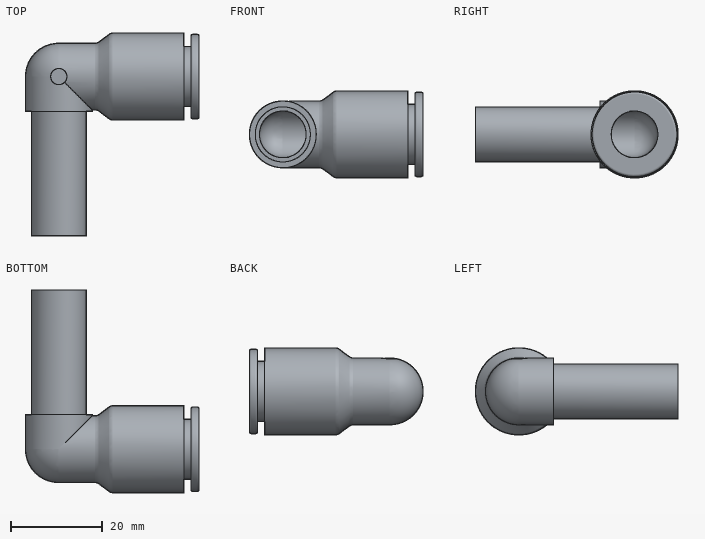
import cadquery as cq

elbow_radius = 7.3
elbow_skirt_length = 7.55
stem_radius = 6.0
stem_end = 34.7
bore_radius = 5.1

barrel_radius = 9.5
shoulder_start = 8.4
shoulder_end = 11.35
shoulder_fillet = 1.33
barrel_end = 27.25

neck_radius = 6.6
flange_radius = 9.25
flange_start = 28.77
flange_end = 30.6
flange_fillet = 0.5

recess_radius = 1.75
recess_depth = 0.45


def stem_cylinder(radius, length):
    """Cylinder from the elbow centre toward -Y."""
    return cq.Workplane("XZ").circle(radius).extrude(length)


def socket_cylinder(radius, start, end):
    """Cylinder along X between two stations."""
    return cq.Workplane("YZ", origin=(start, 0, 0)).circle(radius).extrude(end - start)


def make_socket_body():
    profile = [
        (0, 0),
        (0, elbow_radius),
        (shoulder_start, elbow_radius),
        (shoulder_end, barrel_radius),
        (barrel_end, barrel_radius),
        (barrel_end, 0),
    ]
    body = cq.Workplane("XY").polyline(profile).close().revolve(360, (0, 0, 0), (1, 0, 0))
    for station, radius in ((shoulder_start, elbow_radius), (shoulder_end, barrel_radius)):
        reach = radius + shoulder_fillet
        edge_zone = cq.selectors.BoxSelector(
            (station - 0.45, -reach, -reach), (station + 0.45, reach, reach), boundingbox=True
        )
        body = body.edges(edge_zone).fillet(shoulder_fillet)
    return body


def make_collar():
    flange = socket_cylinder(flange_radius, flange_start, flange_end)
    flange = flange.edges("%CIRCLE").fillet(flange_fillet)
    return socket_cylinder(neck_radius, barrel_end, flange_end).union(flange)


def make_bore():
    """Bent passage, open at both ends, with a spherical outer corner."""
    bore = cq.Workplane("XY").sphere(bore_radius)
    bore = bore.union(stem_cylinder(bore_radius, stem_end))
    return bore.union(socket_cylinder(bore_radius, 0, flange_end))


def make_recess():
    floor = elbow_radius - recess_depth
    return cq.Workplane("XY").workplane(offset=floor).circle(recess_radius).extrude(2 * recess_depth)


outer = cq.Workplane("XY").sphere(elbow_radius)
outer = outer.union(stem_cylinder(elbow_radius, elbow_skirt_length))
outer = outer.union(make_socket_body())
outer = outer.union(stem_cylinder(stem_radius, stem_end))
outer = outer.union(make_collar())

result = outer.cut(make_bore()).cut(make_recess())